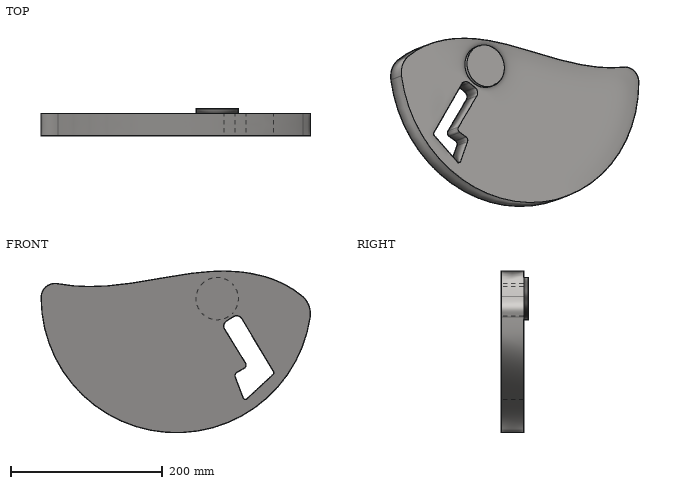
import cadquery as cq
import math

plate_thickness = 30.0
belly_radius = 179.0
belly_end_drop = 26.0

left_tip_start = (-belly_radius, 0.0)
left_tip_end = (-156.7, 18.3)

right_tip_start = (167.3, 1.1)
right_tip_middle = (175.3, -10.6)
right_tip_end = (math.sqrt(belly_radius**2 - belly_end_drop**2), -belly_end_drop)

top_fall = (118.2, 27.3)
top_crest = (60.2, 35.0)
top_rise = [(20.7, 32.1), (-39.3, 22.2)]
top_dip = (-114.8, 14.5)

slot_corners = [
    ((59.9, -35.4), 8.0),
    ((82.3, -21.2), 8.0),
    ((129.6, -100.2), 3.0),
    ((90.0, -137.0), 3.0),
    ((76.5, -101.2), 5.0),
    ((94.2, -91.2), 5.0),
]

boss_diameter = 56.0
boss_height = 6.0
boss_center = (54.0, -1.6)


def plane_at(y):
    """Workplane parallel to XZ at depth y; its normal points toward -Y."""
    return cq.Workplane("XZ", origin=(0, y, 0))


def make_plate():
    outline = (
        plane_at(0)
        .moveTo(*left_tip_start)
        .threePointArc((0, -belly_radius), right_tip_end)
        .threePointArc(right_tip_middle, right_tip_start)
        .spline([top_fall, top_crest, *top_rise, top_dip, left_tip_end], includeCurrent=True)
        .tangentArcPoint(left_tip_start, relative=False)
        .close()
    )
    return outline.extrude(-plate_thickness)


def make_slot_cutter():
    corner_points = [point for point, radius in slot_corners]
    cutter = plane_at(0).polyline(corner_points).close().extrude(-plate_thickness)
    for (x, z), radius in slot_corners:
        corner_edge = cq.selectors.NearestToPointSelector((x, plate_thickness / 2, z))
        cutter = cutter.edges(corner_edge).fillet(radius)
    return cutter


def make_boss():
    return plane_at(plate_thickness).center(*boss_center).circle(boss_diameter / 2).extrude(-boss_height)


result = make_plate().cut(make_slot_cutter()).union(make_boss())